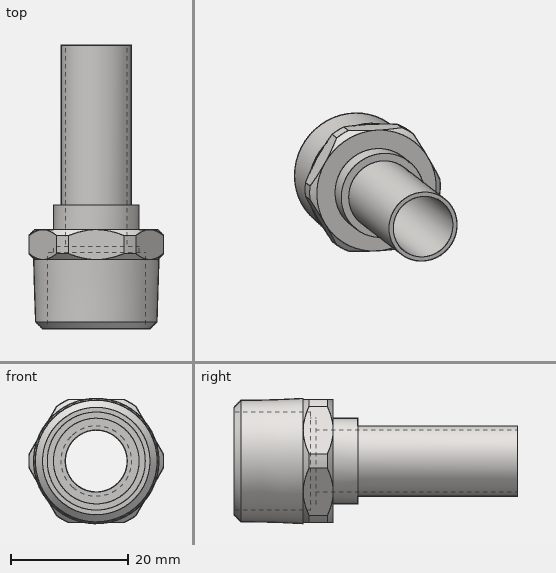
import cadquery as cq
import math


total_length = 48.3
chamfer_length = 1.2
thread_length = 11.8
hex_length = 5.1
collar_length = 4.2

thread_large_diameter = 21.38
thread_taper = 1 / 16
thread_end_diameter = 18.3
collar_diameter = 14.6
tube_diameter = 12.0

hex_across_flats = 21.0
hex_across_corners = hex_across_flats / math.cos(math.pi / 6)
hex_corner_diameter = 23.0
hex_chamfer = 1.0

mouth_diameter = 16.7
mouth_depth = 13.0
step_diameter = 14.6
step_depth = 14.0
through_diameter = 10.5

thread_end = 0.0
hex_start = thread_end + thread_length
hex_end = hex_start + hex_length
collar_end = hex_end + collar_length
tube_end = thread_end + total_length


def cylinder(diameter, start, end):
    """Cylinder about the Y axis between two stations."""
    return cq.Workplane("XZ", origin=(0, start, 0)).circle(diameter / 2).extrude(start - end)


def taper_radius(station):
    """Radius of the tapered thread at a station along Y."""
    return (thread_large_diameter - thread_taper * (hex_start - station)) / 2


def make_thread():
    """Plain tapered thread envelope, chamfered at its free end."""
    chamfer_end = thread_end + chamfer_length
    profile = [
        (0, thread_end),
        (thread_end_diameter / 2, thread_end),
        (taper_radius(chamfer_end), chamfer_end),
        (taper_radius(hex_start), hex_start),
        (0, hex_start),
    ]
    return cq.Workplane("XY").polyline(profile).close().revolve(360, (0, 0, 0), (0, 1, 0))


def make_hex():
    """Hexagon with its corners rounded and chamfered by a common turned disc."""
    prism = (
        cq.Workplane("XZ", origin=(0, hex_start, 0))
        .polygon(6, hex_across_corners)
        .extrude(-hex_length)
    )
    turned_disc = cylinder(hex_corner_diameter, hex_start, hex_end).edges("%CIRCLE").chamfer(hex_chamfer)
    return prism.intersect(turned_disc)


def make_bore():
    """Stepped cutter for the bore."""
    return (
        cylinder(through_diameter, thread_end, tube_end)
        .union(cylinder(step_diameter, thread_end, step_depth))
        .union(cylinder(mouth_diameter, thread_end, mouth_depth))
    )


result = (
    make_thread()
    .union(make_hex())
    .union(cylinder(collar_diameter, hex_end, collar_end))
    .union(cylinder(tube_diameter, collar_end, tube_end))
    .cut(make_bore())
)